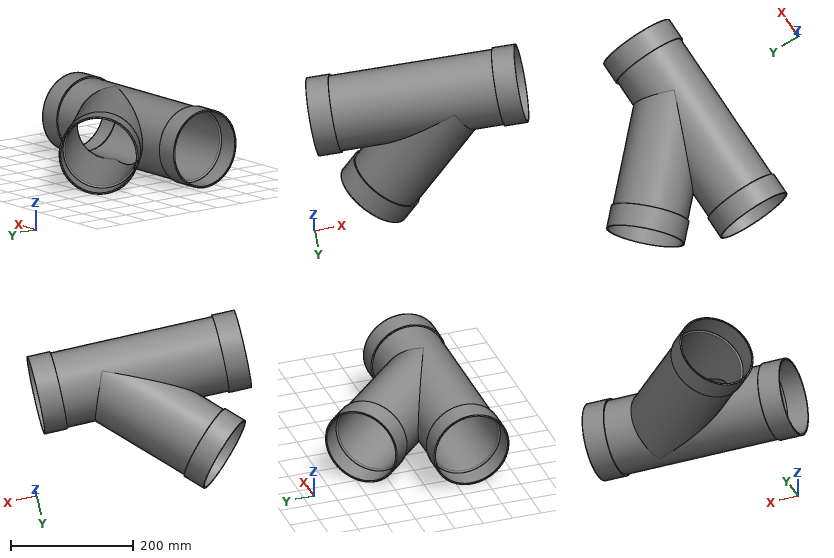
import cadquery as cq

wall = 2.5
bore_diameter = 120.0
pipe_diameter = bore_diameter + 2 * wall
socket_diameter = pipe_diameter
collar_diameter = socket_diameter + 2 * wall

socket_depth = 35.0
lip_radius = (socket_diameter - bore_diameter) / 2
collar_length = socket_depth + lip_radius

run_length = 347.0
long_arm = 235.9
short_arm = run_length - long_arm

arms = [
    (long_arm, 180.0),
    (short_arm, 0.0),
    (long_arm, 135.0),
]


def point_arm(solid, angle):
    """Turn a solid built along +X into the direction of an arm."""
    return solid.rotate((0, 0, 0), (0, 0, 1), angle)


def cylinder(diameter, start, end):
    """Cylinder around the X axis between two distances from the origin."""
    return cq.Workplane("YZ").workplane(offset=start).circle(diameter / 2).extrude(end - start)


def arm_outside(length):
    """Plain pipe with a wider collar at its open end."""
    collar = cylinder(collar_diameter, length - collar_length, length)
    return cylinder(pipe_diameter, 0, length).union(collar)


def arm_inside(length):
    """Bore that widens over the rounded lip into the socket, as one revolved profile."""
    bore_end = length - collar_length
    socket_start = length - socket_depth
    return (
        cq.Workplane("XY")
        .lineTo(0, bore_diameter / 2)
        .lineTo(bore_end, bore_diameter / 2)
        .tangentArcPoint((socket_start, socket_diameter / 2), relative=False)
        .lineTo(length, socket_diameter / 2)
        .lineTo(length, 0)
        .close()
        .revolve(360, (0, 0, 0), (1, 0, 0))
    )


body = cq.Workplane("XY")
for arm_length, arm_angle in arms:
    body = body.union(point_arm(arm_outside(arm_length), arm_angle))
for arm_length, arm_angle in arms:
    body = body.cut(point_arm(arm_inside(arm_length), arm_angle))

result = body